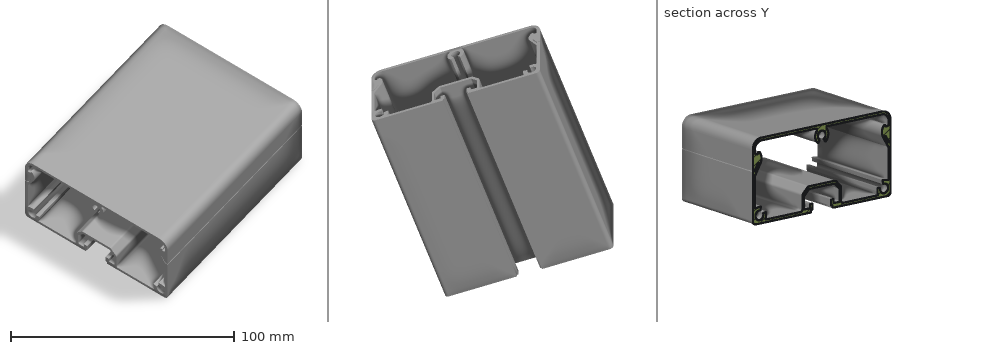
import cadquery as cq
import math

WIDTH = 80.0
LENGTH = 100.0
HEIGHT = 40.0
WALL = 1.5
TOP_RADIUS = 5.0
BOTTOM_RADIUS = 2.0
HALF = WIDTH / 2
INNER_HALF = HALF - WALL
CEILING = HEIGHT - WALL

PORT_Z = 34.9
PORT_RADIUS = 2.1
PORT_OUTER_RADIUS = 3.95
PORT_NECK_HALF = 2.85
PORT_MOUTH_HALF_INNER = 0.95
PORT_MOUTH_HALF_OUTER = 2.1

CORNER_PORT_CENTER = 3.95
CORNER_PORT_RADIUS = 2.15
EAR_ROOT = 7.6
EAR_KNEE = 3.3
EAR_TIP = (5.0, 8.0)
EAR_MOUTH = 4.65

BOSS_CENTER_X = 1.0
BOSS_CENTER_Z = 30.3
BOSS_RADIUS = 4.35
BOSS_FOOT_Z = 22.7
BOSS_TANGENT_ANGLE = math.radians(-36)
BOSS_FLAT_END = 3.9
LEDGE_Z = 32.7
LEDGE_END = 3.0
LEDGE_FILLET = 0.7
SLIT_Z = 25.0
SLIT_GAP = 0.25
SLIT_MOUTH_CHAMFER = 0.35
SLIT_BEND = 1.6
SLIT_END = (3.5, 28.2)

CHANNEL_HALF = 11.3
CHANNEL_WALL = 1.1
CHANNEL_HEIGHT = 12.6
CHANNEL_CHAMFER = 3.4
CHANNEL_CHAMFER_BLEND = 1.5
CHANNEL_INNER_CHAMFER = 2.85
CHANNEL_FLOOR = 2.3
CHANNEL_ROOT_FILLET = 1.0
CHANNEL_FLOOR_FILLET = 0.5
HOOK_INNER_HALF = 5.15
HOOK_OUTER_HALF = 7.05
HOOK_TOP = 4.2
HOOK_BOTTOM = 1.2
OPENING_HALF = 5.95


def profile():
    """XZ sketch plane at the middle of the length."""
    return cq.Workplane("XZ")


def extrude(sketch):
    """Full-length solid from a closed outline on the profile plane."""
    return sketch.extrude(LENGTH / 2, both=True)


def block(x_min, x_max, z_min, z_max):
    """Full-length bar with a rectangular section."""
    center = ((x_min + x_max) / 2, (z_min + z_max) / 2)
    return extrude(profile().center(*center).rect(x_max - x_min, z_max - z_min))


def both_sides(body):
    """Body joined with its mirror image across the middle of the width."""
    return body.union(body.mirror("YZ"))


def tube():
    """Rounded rectangular tube."""
    outer = block(-HALF, HALF, 0, HEIGHT)
    outer = outer.edges("|Y and >Z").fillet(TOP_RADIUS)
    outer = outer.edges("|Y and <Z").fillet(BOTTOM_RADIUS)
    cavity = block(-INNER_HALF, INNER_HALF, WALL, CEILING)
    cavity = cavity.edges("|Y and >Z").fillet(TOP_RADIUS - WALL)
    return outer.cut(cavity)


def top_port():
    """C-shaped screw port with a flared mouth facing down."""
    ring = extrude(profile().center(0, PORT_Z).circle(PORT_OUTER_RADIUS))
    ring = ring.intersect(block(-HALF, HALF, 0, HEIGHT - WALL / 2))
    ring = ring.union(block(-PORT_NECK_HALF, PORT_NECK_HALF, PORT_Z, HEIGHT - WALL / 2))
    bore = extrude(profile().center(0, PORT_Z).circle(PORT_RADIUS))
    inner_z = PORT_Z - math.sqrt(PORT_RADIUS**2 - PORT_MOUTH_HALF_INNER**2)
    outer_z = PORT_Z - math.sqrt(PORT_OUTER_RADIUS**2 - PORT_MOUTH_HALF_OUTER**2)
    below = PORT_Z - PORT_OUTER_RADIUS
    mouth = extrude(
        profile()
        .moveTo(0, PORT_Z)
        .lineTo(-PORT_MOUTH_HALF_INNER, inner_z)
        .lineTo(-PORT_MOUTH_HALF_OUTER, outer_z)
        .lineTo(-PORT_MOUTH_HALF_OUTER, below)
        .lineTo(PORT_MOUTH_HALF_OUTER, below)
        .lineTo(PORT_MOUTH_HALF_OUTER, outer_z)
        .lineTo(PORT_MOUTH_HALF_INNER, inner_z)
        .close()
    )
    return ring.cut(bore).cut(mouth)


def corner_port():
    """Left corner screw port: two ears around a bore open along the diagonal."""
    mouth_height = CORNER_PORT_CENTER + math.sqrt(
        CORNER_PORT_RADIUS**2 - (EAR_MOUTH - CORNER_PORT_CENTER) ** 2
    )
    tip_along, tip_across = EAR_TIP
    edge = WALL / 2
    outline = [
        (BOTTOM_RADIUS, edge),
        (edge, BOTTOM_RADIUS),
        (edge, EAR_ROOT),
        (WALL, EAR_ROOT),
        (EAR_KNEE, tip_across),
        (tip_along, tip_across),
        (EAR_MOUTH, mouth_height),
        (CORNER_PORT_CENTER, CORNER_PORT_CENTER),
        (mouth_height, EAR_MOUTH),
        (tip_across, tip_along),
        (tip_across, EAR_KNEE),
        (EAR_ROOT, WALL),
        (EAR_ROOT, edge),
    ]
    ears = extrude(profile().polyline([(x - HALF, z) for x, z in outline]).close())
    bore = extrude(
        profile()
        .center(CORNER_PORT_CENTER - HALF, CORNER_PORT_CENTER)
        .circle(CORNER_PORT_RADIUS)
    )
    return ears.cut(bore)


def snap_boss():
    """Left boss: ledge, step and rounded nose on top, slanted flank below."""
    center_x = BOSS_CENTER_X - HALF
    flank_x = center_x + BOSS_RADIUS * math.cos(BOSS_TANGENT_ANGLE)
    flank_z = BOSS_CENTER_Z + BOSS_RADIUS * math.sin(BOSS_TANGENT_ANGLE)
    top_x = BOSS_FLAT_END - HALF
    top_z = BOSS_CENTER_Z + math.sqrt(BOSS_RADIUS**2 - (top_x - center_x) ** 2)
    edge = -HALF + WALL / 2
    corner_z = LEDGE_Z + LEDGE_FILLET
    ledge_start = -INNER_HALF + LEDGE_FILLET
    return extrude(
        profile()
        .moveTo(edge, BOSS_FOOT_Z)
        .lineTo(edge, corner_z)
        .lineTo(-INNER_HALF, corner_z)
        .radiusArc((ledge_start, LEDGE_Z), -LEDGE_FILLET)
        .lineTo(LEDGE_END - HALF, LEDGE_Z)
        .lineTo(LEDGE_END - HALF, top_z)
        .lineTo(top_x, top_z)
        .threePointArc((center_x + BOSS_RADIUS, BOSS_CENTER_Z), (flank_x, flank_z))
        .lineTo(-INNER_HALF, BOSS_FOOT_Z)
        .close()
    )


def snap_slit():
    """Left slit: level and chamfered at the outer face, then slanting up into the boss."""
    end_x, end_z = SLIT_END[0] - HALF, SLIT_END[1]
    bend_x = SLIT_BEND - HALF
    return extrude(
        profile()
        .moveTo(-HALF, SLIT_Z - SLIT_MOUTH_CHAMFER)
        .lineTo(-HALF + SLIT_MOUTH_CHAMFER, SLIT_Z)
        .lineTo(bend_x, SLIT_Z)
        .lineTo(end_x, end_z)
        .lineTo(end_x - SLIT_GAP, end_z)
        .lineTo(bend_x - SLIT_GAP, SLIT_Z + SLIT_GAP)
        .lineTo(-HALF, SLIT_Z + SLIT_GAP)
        .close()
    )


def channel_bar():
    """Solid bar with blended chamfers along its top, later hollowed by the channel void."""
    bar = block(-CHANNEL_HALF, CHANNEL_HALF, 0, CHANNEL_HEIGHT)
    bar = bar.edges("|Y and >Z").chamfer(CHANNEL_CHAMFER)
    shoulder_z = CHANNEL_HEIGHT - CHANNEL_CHAMFER
    above_base = cq.selectors.BoxSelector(
        (-WIDTH, -LENGTH, shoulder_z - WALL), (WIDTH, LENGTH, HEIGHT)
    )
    return bar.edges("|Y").edges(above_base).fillet(CHANNEL_CHAMFER_BLEND)


def channel_void():
    """Inside of the channel and its opening, between the two hooks."""
    inner_half = CHANNEL_HALF - CHANNEL_WALL
    void = block(-inner_half, inner_half, CHANNEL_FLOOR, CHANNEL_HEIGHT - WALL)
    void = void.edges("|Y and >Z").chamfer(CHANNEL_INNER_CHAMFER)
    void = void.edges("|Y and <Z").fillet(CHANNEL_FLOOR_FILLET)
    hook = block(-HOOK_OUTER_HALF, -HOOK_INNER_HALF, HOOK_BOTTOM, HOOK_TOP)
    void = void.cut(both_sides(hook))
    void = void.union(block(-HOOK_INNER_HALF, HOOK_INNER_HALF, 0, HOOK_TOP))
    return void.union(block(-OPENING_HALF, OPENING_HALF, 0, HOOK_BOTTOM))


def channel_root_fillet():
    """Left concave fillet between the bottom wall and the channel side."""
    start_x = -CHANNEL_HALF - CHANNEL_ROOT_FILLET
    return extrude(
        profile()
        .moveTo(start_x, WALL)
        .radiusArc((-CHANNEL_HALF, WALL + CHANNEL_ROOT_FILLET), -CHANNEL_ROOT_FILLET)
        .lineTo(-CHANNEL_HALF, WALL / 2)
        .lineTo(start_x, WALL / 2)
        .close()
    )


result = tube().union(top_port())
result = result.union(channel_bar()).union(both_sides(channel_root_fillet()))
result = result.cut(channel_void())
result = result.union(both_sides(corner_port())).union(both_sides(snap_boss()))
result = result.cut(both_sides(snap_slit()))